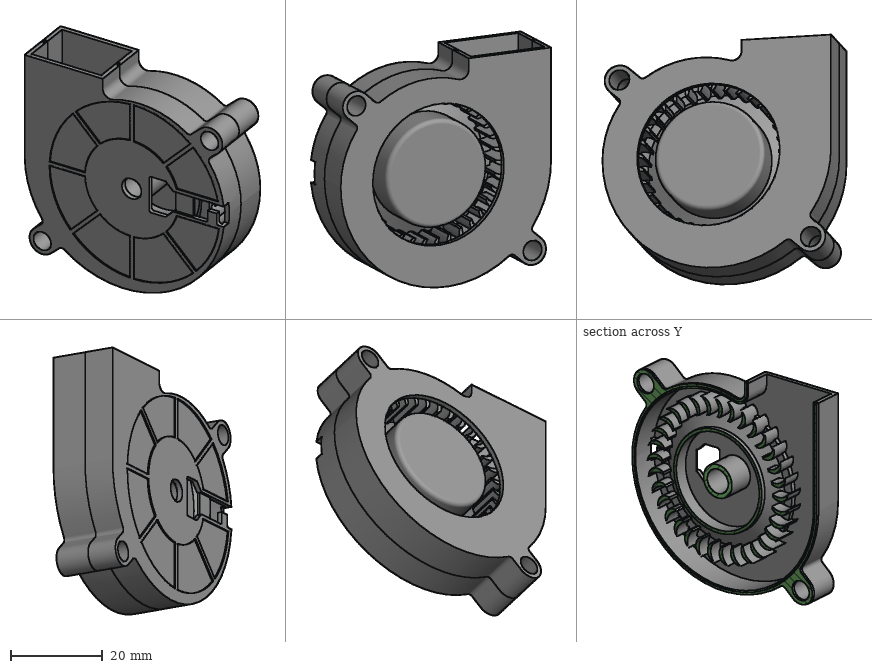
import cadquery as cq
import math


DEPTH = 15.0
WALL = 1.1
FRONT_WALL = 1.1
REAR_WALL = 1.2
LOWER_RADIUS = 25.65
LOWER_CENTER_X = -1.85
UPPER_RADIUS = 22.0
UPPER_CENTER_X = LOWER_CENTER_X + LOWER_RADIUS - UPPER_RADIUS
OUTLET_LEFT = LOWER_CENTER_X - LOWER_RADIUS
OUTLET_WIDTH = 20.1
OUTLET_RIGHT = OUTLET_LEFT + OUTLET_WIDTH
OUTLET_TOP = 25.42
THROAT_RADIUS = 2.0

JOINT_OUTER_Y = 6.95
JOINT_INNER_Y = 7.9
JOINT_INSET = WALL / 2

UPPER_LUG_CENTER = (20.0, 18.0)
LOWER_LUG_CENTER = (-22.95, -19.98)
LUG_CENTERS = [UPPER_LUG_CENTER, LOWER_LUG_CENTER]
LUG_RADIUS = 3.3
LUG_HOLE_DIAMETER = 4.5
LUG_ANGLE = math.degrees(
    math.atan2(
        UPPER_LUG_CENTER[1] - LOWER_LUG_CENTER[1],
        UPPER_LUG_CENTER[0] - LOWER_LUG_CENTER[0],
    )
)
LUG_LENGTH = 10.0
LUG_FILLET = 1.0

RECESS_DEPTH = 0.3
RECESS_OUTER_RADIUS = 21.83
RECESS_CENTER = (0.7, -0.7)
RECESS_INNER_RADIUS = 12.0
RIB_WIDTH = 1.0
RIB_COUNT = 8
SLOT_RIB_WIDTH = 6.8

SLOT_WIDTH = 5.1
WINDOW_WIDTH = 9.0
WINDOW_LEFT = 4.5
WINDOW_TAPER_START = 8.7
SLOT_START = 11.0
BRIDGE_END = 15.5
BRIDGE_DEPTH = 0.6
WINDOW_FILLET = 0.6
WIRE_EXIT_DEPTH = 2.05
HOOK_LEFT = 19.5
HOOK_WIDTH = 2.35
HOOK_TOP = 0.3
HOOK_FILLET = 0.5

BEARING_MOUTH_DIAMETER = 5.0
BEARING_DIAMETER = 5.65
BEARING_MOUTH_DEPTH = 1.3
TUBE_DIAMETER = 8.0
TUBE_END_WALL = 1.0

INTAKE_DIAMETER = 32.0

HUB_DIAMETER = 24.5
HUB_BORE_DIAMETER = 22.8
HUB_END_WALL = 1.0
HUB_FILLET = 1.0
HUB_REAR_Y = DEPTH - 0.8
FLANGE_RADIUS = 18.0
FLANGE_FRONT_Y = 3.15
FLANGE_THICKNESS = 1.15
FLANGE_RECESS_DIAMETER = 32.0
FLANGE_RECESS_FLOOR_DIAMETER = 29.6
WEB_THICKNESS = 2.2
BLADE_REAR_Y = 12.3
BLADE_COUNT = 33
BLADE_PHASE = -0.15
BLADE_TIP_RADIUS = 19.55
BLADE_ROOT_RADIUS = 15.2
BLADE_MIDDLE_RADIUS = 18.0
BLADE_OUTER_FACE_MIDDLE = 6.4
BLADE_OUTER_FACE_ROOT = 4.5
BLADE_INNER_FACE_MIDDLE = 3.0
BLADE_INNER_FACE_ROOT = 2.4

CUT_MARGIN = 2.0


def plane_at(y):
    """Workplane parallel to XZ at the given Y."""
    return cq.Workplane("XZ", origin=(0, y, 0))


def disc(diameter, y_start, y_end, center=(0, 0)):
    """Cylinder along Y."""
    return plane_at(y_start).center(*center).circle(diameter / 2).extrude(y_start - y_end)


def block(x_start, x_end, z_start, z_end, y_start, y_end):
    """Box given by its limits."""
    size = (x_end - x_start, y_end - y_start, z_end - z_start)
    return cq.Workplane("XY").box(*size, centered=False).translate((x_start, y_start, z_start))


def polar(radius, degrees):
    """Point in the XZ plane."""
    angle = math.radians(degrees)
    return radius * math.cos(angle), radius * math.sin(angle)


def scroll(inset, top, y_start, y_end):
    """Prism of the scroll outline moved inwards by inset, with its outlet ending at z = top."""
    lower_radius = LOWER_RADIUS - inset
    upper_radius = UPPER_RADIUS - inset
    throat_radius = THROAT_RADIUS + inset
    left = OUTLET_LEFT + inset
    outlet_right = OUTLET_RIGHT - inset
    throat_x = OUTLET_RIGHT + THROAT_RADIUS
    throat_span = UPPER_RADIUS + THROAT_RADIUS
    throat_angle = math.acos((throat_x - UPPER_CENTER_X) / throat_span)
    throat_z = throat_span * math.sin(throat_angle)

    def on_upper(angle):
        return UPPER_CENTER_X + upper_radius * math.cos(angle), upper_radius * math.sin(angle)

    middle_of_throat = math.pi + throat_angle / 2
    throat_middle = (
        throat_x + throat_radius * math.cos(middle_of_throat),
        throat_z + throat_radius * math.sin(middle_of_throat),
    )
    return (
        plane_at(y_start)
        .moveTo(outlet_right, top)
        .lineTo(left, top)
        .lineTo(left, 0)
        .threePointArc((LOWER_CENTER_X, -lower_radius), (LOWER_CENTER_X + lower_radius, 0))
        .threePointArc(on_upper(throat_angle / 2), on_upper(throat_angle))
        .threePointArc(throat_middle, (outlet_right, throat_z))
        .close()
        .extrude(y_start - y_end)
    )


def mounting_lug(center, inward_angle):
    """Round-ended lug that runs from its hole into the scroll."""
    arm = (
        plane_at(0)
        .center(*center)
        .transformed(rotate=(0, 0, inward_angle))
        .center(LUG_LENGTH / 2, 0)
        .rect(LUG_LENGTH, 2 * LUG_RADIUS)
        .extrude(-DEPTH)
    )
    return arm.union(disc(2 * LUG_RADIUS, 0, DEPTH, center))


def lug_root_edges(solid):
    """Edges along Y where the lug sides meet the scroll."""
    roots = []
    for edge in solid.edges("|Y").vals():
        point = edge.Center()
        for x, z in LUG_CENTERS:
            distance = math.hypot(point.x - x, point.z - z)
            if LUG_RADIUS + LUG_FILLET < distance < LUG_LENGTH:
                roots.append(edge)
    return solid.newObject(roots)


def housing_shell():
    """Both housing halves in one piece, before the joint and the front details."""
    solid = scroll(0, OUTLET_TOP, 0, DEPTH)
    solid = solid.union(mounting_lug(UPPER_LUG_CENTER, 180 + LUG_ANGLE))
    solid = solid.union(mounting_lug(LOWER_LUG_CENTER, LUG_ANGLE))
    solid = lug_root_edges(solid).fillet(LUG_FILLET)
    for center in LUG_CENTERS:
        solid = solid.cut(disc(LUG_HOLE_DIAMETER, 0, DEPTH, center))
    cavity = scroll(WALL, OUTLET_TOP + CUT_MARGIN, FRONT_WALL, DEPTH - REAR_WALL)
    return solid.cut(cavity)


def front_region():
    """Space of the front half: a slab, plus the inner part of the wall as a tongue."""
    reach = 2 * LOWER_RADIUS
    slab = block(-reach, reach, -reach, reach, 0, JOINT_OUTER_Y)
    tongue = scroll(JOINT_INSET, OUTLET_TOP + CUT_MARGIN, JOINT_OUTER_Y, JOINT_INNER_Y)
    return slab.union(tongue)


def recess_sectors():
    """Shallow ring sectors between the radial ribs."""
    sectors = disc(2 * RECESS_OUTER_RADIUS, 0, RECESS_DEPTH, RECESS_CENTER)
    sectors = sectors.cut(disc(2 * RECESS_INNER_RADIUS, 0, RECESS_DEPTH))
    for index in range(RIB_COUNT):
        width = SLOT_RIB_WIDTH if index == 0 else RIB_WIDTH
        rib = block(0, LOWER_RADIUS, -width / 2, width / 2, 0, RECESS_DEPTH)
        sectors = sectors.cut(rib.rotate((0, 0, 0), (0, 1, 0), -index * 360 / RIB_COUNT))
    return sectors


def wire_slot():
    """Tapered window, recessed bridge and open channel for the wires, around the hook."""
    half_slot = SLOT_WIDTH / 2
    half_window = WINDOW_WIDTH / 2
    outside = LOWER_CENTER_X + LOWER_RADIUS + CUT_MARGIN
    taper_end = WINDOW_TAPER_START + half_window - half_slot
    window = (
        plane_at(0)
        .moveTo(WINDOW_LEFT, -half_window)
        .lineTo(WINDOW_TAPER_START, -half_window)
        .lineTo(taper_end, -half_slot)
        .lineTo(SLOT_START, -half_slot)
        .lineTo(SLOT_START, half_slot)
        .lineTo(taper_end, half_slot)
        .lineTo(WINDOW_TAPER_START, half_window)
        .lineTo(WINDOW_LEFT, half_window)
        .close()
        .extrude(-FRONT_WALL)
        .edges("|Y and (not >X)")
        .fillet(WINDOW_FILLET)
    )
    bridge = block(SLOT_START, BRIDGE_END, -half_slot, half_slot, 0, BRIDGE_DEPTH)
    channel = block(BRIDGE_END, outside, -half_slot, half_slot, 0, WIRE_EXIT_DEPTH)
    hook_right = HOOK_LEFT + HOOK_WIDTH
    hook = (
        plane_at(0)
        .moveTo(HOOK_LEFT - HOOK_FILLET, -half_slot)
        .radiusArc((HOOK_LEFT, -half_slot + HOOK_FILLET), -HOOK_FILLET)
        .lineTo(HOOK_LEFT, HOOK_TOP)
        .lineTo(hook_right, HOOK_TOP)
        .lineTo(hook_right, -half_slot + HOOK_FILLET)
        .radiusArc((hook_right + HOOK_FILLET, -half_slot), -HOOK_FILLET)
        .close()
        .extrude(-FRONT_WALL)
    )
    return window.union(bridge).union(channel.cut(hook))


def make_front_housing(shell):
    tube_end = HUB_REAR_Y - HUB_END_WALL
    housing = shell.intersect(front_region())
    housing = housing.cut(recess_sectors()).cut(wire_slot())
    housing = housing.union(disc(TUBE_DIAMETER, FRONT_WALL, tube_end))
    housing = housing.cut(disc(BEARING_MOUTH_DIAMETER, 0, BEARING_MOUTH_DEPTH))
    return housing.cut(disc(BEARING_DIAMETER, BEARING_MOUTH_DEPTH, tube_end - TUBE_END_WALL))


def make_rear_housing(shell):
    housing = shell.cut(front_region())
    return housing.cut(disc(INTAKE_DIAMETER, DEPTH - REAR_WALL, DEPTH))


def blade(tip_angle):
    """Forward-curved blade bounded by two arcs that meet at the tip."""
    tip = polar(BLADE_TIP_RADIUS, tip_angle)
    return (
        plane_at(FLANGE_FRONT_Y)
        .moveTo(*tip)
        .threePointArc(
            polar(BLADE_MIDDLE_RADIUS, tip_angle + BLADE_OUTER_FACE_MIDDLE),
            polar(BLADE_ROOT_RADIUS, tip_angle + BLADE_OUTER_FACE_ROOT),
        )
        .lineTo(*polar(BLADE_ROOT_RADIUS, tip_angle + BLADE_INNER_FACE_ROOT))
        .threePointArc(polar(BLADE_MIDDLE_RADIUS, tip_angle + BLADE_INNER_FACE_MIDDLE), tip)
        .close()
        .extrude(FLANGE_FRONT_Y - BLADE_REAR_Y)
    )


def frustum(y_start, start_diameter, y_end, end_diameter):
    """Truncated cone along Y."""
    return (
        cq.Workplane("XY")
        .moveTo(0, y_start)
        .lineTo(start_diameter / 2, y_start)
        .lineTo(end_diameter / 2, y_end)
        .lineTo(0, y_end)
        .close()
        .revolve(360, (0, 0, 0), (0, 1, 0))
    )


def make_impeller():
    flange_rear = FLANGE_FRONT_Y + FLANGE_THICKNESS
    hub = disc(HUB_DIAMETER, flange_rear, HUB_REAR_Y).faces(">Y").edges().fillet(HUB_FILLET)
    flange = disc(2 * FLANGE_RADIUS, FLANGE_FRONT_Y, flange_rear)
    web = frustum(flange_rear, FLANGE_RECESS_DIAMETER, flange_rear + WEB_THICKNESS, HUB_DIAMETER)
    recess = frustum(FLANGE_FRONT_Y, FLANGE_RECESS_DIAMETER, flange_rear, FLANGE_RECESS_FLOOR_DIAMETER)
    bore = disc(HUB_BORE_DIAMETER, FLANGE_FRONT_Y, HUB_REAR_Y - HUB_END_WALL)
    wheel = hub.union(web).union(flange)
    for index in range(BLADE_COUNT):
        wheel = wheel.union(blade(BLADE_PHASE + index * 360 / BLADE_COUNT))
    return wheel.cut(recess).cut(bore)


shell = housing_shell()
front_housing = make_front_housing(shell)
rear_housing = make_rear_housing(shell)
impeller = make_impeller()

result = cq.Compound.makeCompound([front_housing.val(), rear_housing.val(), impeller.val()])